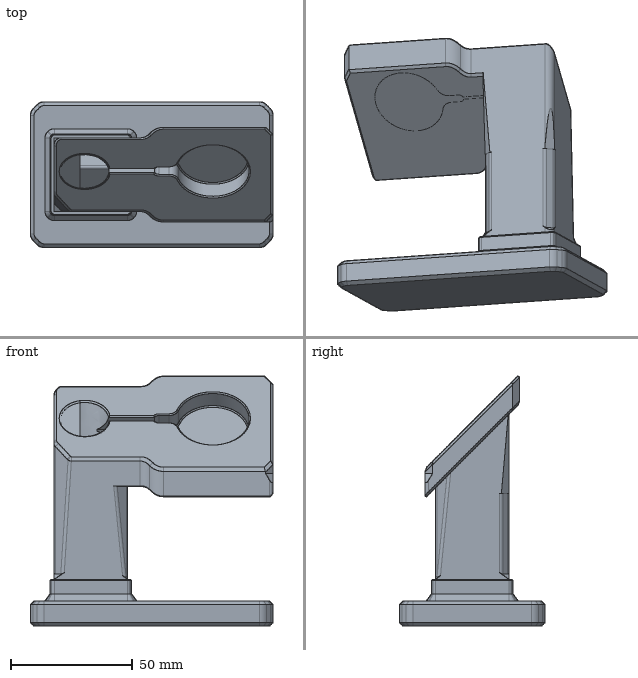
import cadquery as cq
import math

SQRT2 = math.sqrt(2)

ABOVE_ALL = 123.5
CLEARANCE = 1.0

PLATE_LENGTH = 100.0
PLATE_WIDTH = 60.0
PLATE_THICK = 10.4
PLATE_CORNER_CUT = 4.0
PLATE_CORNER_ROUND = 4.0
PLATE_BEVEL = 1.5

POST_SIDE = 30.4
POST_LEFT = -40.2
POST_RIGHT = POST_LEFT + POST_SIDE
POST_X = POST_LEFT + POST_SIDE / 2
COLLAR_WALL = 1.6
COLLAR_SIDE = POST_SIDE + 2 * COLLAR_WALL
COLLAR_TOP = 19.2
COLLAR_CORNER_CUT = 1.1
COLLAR_CORNER_ROUND = 1.5
COLLAR_BEVEL = 0.5
FLARE_TOP = 13.3
FLARE_OUT = 2.1

FACE_Z = 84.2
HEAD_DROP = 12.0
HEAD_WIDTH = 38.9
HEAD_RIGHT = PLATE_LENGTH / 2
SHOULDER_START = -4.7
CONCAVE_R = 5.2
CONVEX_R = 7.6
BACK_CORNER_R = 3.0
HEAD_BEVEL = 1.0
BACK_RIGHT_CUT = 3.0
FRONT_RIGHT_R = 1.4
UNDERSIDE_BEVEL = 0.8

CUT_BOTTOM = COLLAR_TOP
LEDGE_TOP = 21.5
RIGHT_LEDGE_TOP = 20.2
CUT_ROUND = 2.0
LEFT_CUT_LOW = 3.4
LEFT_CUT_HIGH = 6.5
LEFT_CUT_HIGH_Z = 70.0
RIGHT_CUT_LOW = 1.2
RIGHT_CUT_HIGH = 4.9
RIGHT_CUT_HIGH_Z = 57.6
BACK_CUT = 3.2
BACK_CUT_TOP = 54.6
BACK_RUNOUT_TOP = 91.6
HEAD_CUT = 3.1
HEAD_CUT_Z = 62.8
HEAD_CUT_BOTTOM = 57.6

RECESS_Y = 1.3
RECESS_X = 25.1
RECESS_DIAM = 30.0
RECESS_DEPTH = 8.0
RIM_BEVEL = 0.5
FLOOR_BEVEL = 0.5
CHANNEL_WIDTH = 2.2
SLEEVE_WIDTH = 4.3
SLEEVE_X = 3.0
BLEND_R = 4.1

SHAFT_X = -27.6
SHAFT_R = 10.0
CAP_EDGE_X = -29.4
CAP_DROP = 5.1
RIDGE_Y = 3.0
RIDGE_Z = 61.8
RIDGE_R = 1.0

FACE_NORMAL = (0, -1, 1)
FACE_TOWARD = cq.selectors.DirectionMinMaxSelector(cq.Vector(*FACE_NORMAL), True)
FACE_AWAY = cq.selectors.DirectionMinMaxSelector(cq.Vector(*FACE_NORMAL), False)
HALF_POST = POST_SIDE / 2
HALF_HEAD = HEAD_WIDTH / 2


def face_plane():
    """Plane of the sloped face, centred on the axis of the recess and channel."""
    return cq.Workplane(cq.Plane((0, RECESS_Y, FACE_Z + RECESS_Y), (1, 0, 0), FACE_NORMAL))


def band_below_face(drop):
    """Slab between the sloped face and a parallel plane the given drop below it."""
    reach = 61.8
    return (
        cq.Workplane("YZ", origin=(-reach, 0, 0))
        .polyline([
            (-reach, FACE_Z - reach),
            (reach, FACE_Z + reach),
            (reach, FACE_Z + reach - drop),
            (-reach, FACE_Z - reach - drop),
        ])
        .close()
        .extrude(2 * reach)
    )


def corner_cutter(x, y, inward, profile):
    """Wedge that cuts a vertical corner at 45 degrees; profile lists (cut width, height)."""
    reach = 20.6
    diagonal = (inward[0], inward[1], 0)
    plane = cq.Plane((x, y, 0), diagonal, (inward[1], -inward[0], 0))
    points = [(width / SQRT2, height) for width, height in profile]
    outside = [(-reach, profile[-1][1]), (-reach, profile[0][1])]
    return cq.Workplane(plane).polyline(points + outside).close().extrude(reach, both=True)


def corner_box(x, y, low, high):
    """Selector for edges near the vertical line through (x, y) between two heights."""
    reach = 8.2
    return cq.selectors.BoxSelector((x - reach, y - reach, low), (x + reach, y + reach, high))


def runaway(profile):
    """Extend a cut profile well past its last point, in line with its last stretch."""
    stretch = 3
    (width_a, height_a), (width_b, height_b) = profile[-2:]
    end = (width_b + stretch * (width_b - width_a), height_b + stretch * (height_b - height_a))
    return profile + [end]


def mirrored(point):
    """The same outline point on the other side of the X axis."""
    return point[0], -point[1]


def arc_point(centre, radius, angle):
    """Point at the given angle on a circle."""
    return centre[0] + radius * math.cos(angle), centre[1] + radius * math.sin(angle)


def make_base():
    """Plate with a flared collar and the square socket for the post."""
    plate = (
        cq.Workplane("XY")
        .rect(PLATE_LENGTH, PLATE_WIDTH)
        .extrude(PLATE_THICK)
        .edges("|Z")
        .chamfer(PLATE_CORNER_CUT)
        .edges("|Z")
        .fillet(PLATE_CORNER_ROUND)
        .faces("<Z or >Z")
        .edges()
        .chamfer(PLATE_BEVEL)
    )
    collar = (
        cq.Workplane("XY", origin=(POST_X, 0, FLARE_TOP))
        .rect(COLLAR_SIDE, COLLAR_SIDE)
        .extrude(COLLAR_TOP - FLARE_TOP)
        .edges("|Z")
        .chamfer(COLLAR_CORNER_CUT)
        .edges("|Z")
        .fillet(COLLAR_CORNER_ROUND)
    )
    flare_height = FLARE_TOP - PLATE_THICK
    flare_angle = math.degrees(math.atan2(FLARE_OUT, flare_height))
    flare = (
        collar.faces("<Z")
        .wires()
        .toPending()
        .workplane()
        .extrude(flare_height, taper=-flare_angle, combine=False)
    )
    collar = collar.faces(">Z").edges().chamfer(COLLAR_BEVEL)
    socket = (
        cq.Workplane("XY", origin=(POST_X, 0, PLATE_THICK))
        .rect(POST_SIDE, POST_SIDE)
        .extrude(COLLAR_TOP)
    )
    return plate.union(collar).union(flare).cut(socket)


def head_column(height):
    """Upright column with the head's outline: narrow over the post, then S-shaped shoulders."""
    swell = HALF_HEAD - HALF_POST
    turn = math.acos(1 - swell / (CONCAVE_R + CONVEX_R))

    def shoulder(angle, radius):
        return radius * math.sin(angle), radius * (1 - math.cos(angle))

    mid_x, mid_y = shoulder(turn, CONCAVE_R)
    half_x, half_y = shoulder(turn / 2, CONCAVE_R)
    end_half_x, end_half_y = shoulder(turn / 2, CONVEX_R)
    end_x = SHOULDER_START + (CONCAVE_R + CONVEX_R) * math.sin(turn)

    start = (SHOULDER_START, HALF_POST)
    concave_mid = (SHOULDER_START + half_x, HALF_POST + half_y)
    inflection = (SHOULDER_START + mid_x, HALF_POST + mid_y)
    convex_mid = (end_x - end_half_x, HALF_HEAD - end_half_y)
    end = (end_x, HALF_HEAD)

    return (
        cq.Workplane("XY")
        .moveTo(POST_LEFT, HALF_POST)
        .lineTo(*start)
        .threePointArc(concave_mid, inflection)
        .threePointArc(convex_mid, end)
        .lineTo(HEAD_RIGHT, HALF_HEAD)
        .lineTo(HEAD_RIGHT, -HALF_HEAD)
        .lineTo(*mirrored(end))
        .threePointArc(mirrored(convex_mid), mirrored(inflection))
        .threePointArc(mirrored(concave_mid), mirrored(start))
        .lineTo(POST_LEFT, -HALF_POST)
        .close()
        .extrude(height)
    )


def make_pocket():
    """Charger recess, cable sleeve and narrow channel as one cutter below the sloped face."""
    recess_r = RECESS_DIAM / 2
    sleeve_r = SLEEVE_WIDTH / 2
    channel_half = CHANNEL_WIDTH / 2
    step_angle = math.pi - math.asin(channel_half / sleeve_r)
    blend_y = sleeve_r + BLEND_R
    blend_angle = math.pi - math.asin(blend_y / (recess_r + BLEND_R))
    recess_centre = (RECESS_X, 0)
    sleeve_centre = (SLEEVE_X, 0)
    blend_centre = arc_point(recess_centre, recess_r + BLEND_R, blend_angle)

    channel_start = (SHAFT_X, channel_half)
    step = arc_point(sleeve_centre, sleeve_r, step_angle)
    step_mid = arc_point(sleeve_centre, sleeve_r, (step_angle + math.pi / 2) / 2)
    sleeve_side = (SLEEVE_X, sleeve_r)
    blend_start = (blend_centre[0], sleeve_r)
    blend_mid_angle = (blend_angle - math.pi - math.pi / 2) / 2
    blend_mid = arc_point(blend_centre, BLEND_R, blend_mid_angle)
    blend_end = arc_point(recess_centre, recess_r, blend_angle)
    recess_far = (RECESS_X + recess_r, 0)

    return (
        face_plane()
        .moveTo(*channel_start)
        .lineTo(*step)
        .threePointArc(step_mid, sleeve_side)
        .lineTo(*blend_start)
        .threePointArc(blend_mid, blend_end)
        .threePointArc(recess_far, mirrored(blend_end))
        .threePointArc(mirrored(blend_mid), mirrored(blend_start))
        .lineTo(*mirrored(sleeve_side))
        .threePointArc(mirrored(step_mid), mirrored(step))
        .lineTo(*mirrored(channel_start))
        .close()
        .extrude(-RECESS_DEPTH)
        .faces(FACE_AWAY)
        .edges()
        .chamfer(FLOOR_BEVEL)
    )


def shaft_column(radius, bottom):
    """Vertical column whose cut through the sloped face is a circle of the given radius."""
    return (
        cq.Workplane("XY", origin=(SHAFT_X, RECESS_Y, bottom))
        .ellipse(radius, radius / SQRT2)
        .extrude(ABOVE_ALL - bottom)
    )


def make_shaft():
    """Cable shaft below the head, its bottom a rounded ridge along X."""
    ridge = (
        cq.Workplane("YZ", origin=(SHAFT_X - 2 * SHAFT_R, RIDGE_Y, RIDGE_Z))
        .polyline([(-2 * SHAFT_R, -2 * SHAFT_R), (0, 0), (2 * SHAFT_R, -2 * SHAFT_R)])
        .close()
        .extrude(4 * SHAFT_R)
        .edges(">Z")
        .fillet(RIDGE_R)
    )
    return shaft_column(SHAFT_R, RIDGE_Z - SHAFT_R).cut(ridge)


def make_head():
    """Sloped head with its underside bevelled and its front tip cut."""
    head = head_column(ABOVE_ALL)
    head = head.edges(corner_box(POST_LEFT, HALF_POST, CLEARANCE, ABOVE_ALL - CLEARANCE)).fillet(BACK_CORNER_R)
    head = head.edges("|Z and >X and >Y").chamfer(BACK_RIGHT_CUT)
    head = head.edges("|Z and >X and <Y").fillet(FRONT_RIGHT_R)
    head = head.intersect(band_below_face(HEAD_DROP))
    head = head.faces(FACE_AWAY).edges().chamfer(UNDERSIDE_BEVEL)
    tip_cut = [(0, HEAD_CUT_BOTTOM), (HEAD_CUT, HEAD_CUT_Z), (HEAD_CUT, ABOVE_ALL)]
    return head.cut(corner_cutter(HEAD_RIGHT, -HALF_HEAD, (-1, 1), tip_cut))


def make_post():
    """Square post, left sharp at the front left corner."""
    front, back = -HALF_POST, HALF_POST
    post = (
        cq.Workplane("XY", origin=(POST_X, 0, PLATE_THICK))
        .rect(POST_SIDE, POST_SIDE)
        .extrude(ABOVE_ALL)
        .edges("|Z")
        .edges("<X")
        .edges(">Y")
        .fillet(BACK_CORNER_R)
        .intersect(band_below_face(ABOVE_ALL))
    )
    right_cut = runaway([
        (0, CUT_BOTTOM),
        (RIGHT_CUT_LOW, RIGHT_LEDGE_TOP),
        (RIGHT_CUT_HIGH, RIGHT_CUT_HIGH_Z),
    ])
    post = post.cut(corner_cutter(POST_RIGHT, front, (-1, 1), right_cut))
    post = post.edges(corner_box(POST_RIGHT, front, LEDGE_TOP + CLEARANCE, BACK_CUT_TOP)).fillet(CUT_ROUND)

    back_cut = [(0, CUT_BOTTOM), (BACK_CUT, LEDGE_TOP), (BACK_CUT, BACK_CUT_TOP)]
    runout = [(0, BACK_CUT_TOP - CLEARANCE), (BACK_CUT, BACK_CUT_TOP), (0, BACK_RUNOUT_TOP)]
    for x, inward in ((POST_LEFT, (1, -1)), (POST_RIGHT, (-1, -1))):
        post = post.cut(corner_cutter(x, back, inward, back_cut))
        post = post.edges(corner_box(x, back, LEDGE_TOP + CLEARANCE, BACK_CUT_TOP - CLEARANCE)).fillet(CUT_ROUND)
        post = post.cut(corner_cutter(x, back, inward, runout))
    return post


def make_arm():
    """Post and head in one, with the pocket, the cable shaft and their bevelled rim."""
    front = -HALF_POST
    arm = make_post().union(make_head())
    left_cut = runaway([
        (0, CUT_BOTTOM),
        (LEFT_CUT_LOW, LEDGE_TOP),
        (LEFT_CUT_HIGH, LEFT_CUT_HIGH_Z),
    ])
    arm = arm.cut(corner_cutter(POST_LEFT, front, (1, 1), left_cut))
    arm = arm.edges(corner_box(POST_LEFT, front, LEDGE_TOP + CLEARANCE, LEFT_CUT_HIGH_Z)).fillet(CUT_ROUND)
    arm = arm.faces(FACE_TOWARD).edges().chamfer(HEAD_BEVEL)
    arm = arm.cut(make_pocket()).cut(make_shaft())
    rim = arm.faces(FACE_TOWARD).val().innerWires()[0].Edges()
    return arm.newObject(rim).chamfer(RIM_BEVEL)


def make_cap(arm):
    """Flush cover over the left part of the shaft mouth, filling its bevelled rim."""
    cover = shaft_column(SHAFT_R + 2 * RIM_BEVEL, RIDGE_Z).intersect(band_below_face(CAP_DROP))
    left_part = (
        cq.Workplane("XY", origin=(CAP_EDGE_X - SHAFT_R, 0, 0))
        .rect(2 * SHAFT_R, POST_SIDE)
        .extrude(ABOVE_ALL)
    )
    return cover.intersect(left_part).cut(arm)


base = make_base()
arm = make_arm()
cap = make_cap(arm)
result = cq.Compound.makeCompound([base.val(), arm.val(), cap.val()])